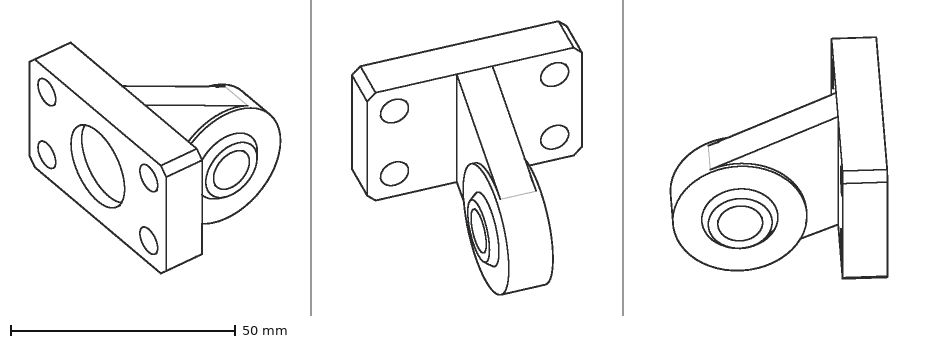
import cadquery as cq
import math


plate_width = 51.0
plate_thickness = 10.0
plate_height = 31.0
corner_chamfer = 2.0
hole_diameter = 6.6
hole_spacing_x = 38.0
hole_spacing_z = 18.0
recess_diameter = 20.0
recess_depth = 3.0

plate_front_y = -32.0
plate_back_y = plate_front_y + plate_thickness
plate_center_z = 12.0
plate_top_z = plate_center_z + plate_height / 2
plate_bottom_z = plate_center_z - plate_height / 2

eye_radius = 15.0
eye_width = 10.5
web_thickness = 8.5
web_lower_angle = math.radians(30)

ball_radius = 10.0
ball_width = 14.0
bore_diameter = 10.0


def side_plane(width):
    """YZ workplane on the -X face of a feature of this width centred on X = 0."""
    return cq.Workplane("YZ").workplane(offset=-width / 2)


def make_plate():
    plate = (
        cq.Workplane("XY")
        .box(plate_width, plate_thickness, plate_height)
        .edges("|Y")
        .chamfer(corner_chamfer)
        .faces("<Y")
        .workplane(centerOption="CenterOfBoundBox")
        .rect(hole_spacing_x, hole_spacing_z, forConstruction=True)
        .vertices()
        .hole(hole_diameter)
        .faces("<Y")
        .workplane(centerOption="CenterOfBoundBox")
        .hole(recess_diameter, recess_depth)
    )
    return plate.translate((0, plate_front_y + plate_thickness / 2, plate_center_z))


def make_web():
    corner_distance = math.hypot(plate_back_y, plate_top_z)
    corner_angle = math.atan2(plate_top_z, plate_back_y)
    tangent_angle = corner_angle - math.acos(eye_radius / corner_distance)
    upper_point = (eye_radius * math.cos(tangent_angle), eye_radius * math.sin(tangent_angle))
    lower_point = (-eye_radius * math.cos(web_lower_angle), -eye_radius * math.sin(web_lower_angle))
    return (
        side_plane(web_thickness)
        .moveTo(plate_back_y, plate_top_z)
        .lineTo(*upper_point)
        .lineTo(0, 0)
        .lineTo(*lower_point)
        .lineTo(plate_back_y, plate_bottom_z)
        .close()
        .extrude(web_thickness)
    )


def make_housing():
    eye = side_plane(eye_width).circle(eye_radius).extrude(eye_width)
    socket = cq.Workplane("XY").sphere(ball_radius)
    return make_plate().union(make_web()).union(eye).cut(socket)


def make_ball():
    flats = cq.Workplane("XY").box(ball_width, 2 * ball_radius, 2 * ball_radius)
    bore = side_plane(ball_width).circle(bore_diameter / 2).extrude(ball_width)
    return cq.Workplane("XY").sphere(ball_radius).intersect(flats).cut(bore)


housing = make_housing()
ball = make_ball()

result = cq.Compound.makeCompound([housing.val(), ball.val()])